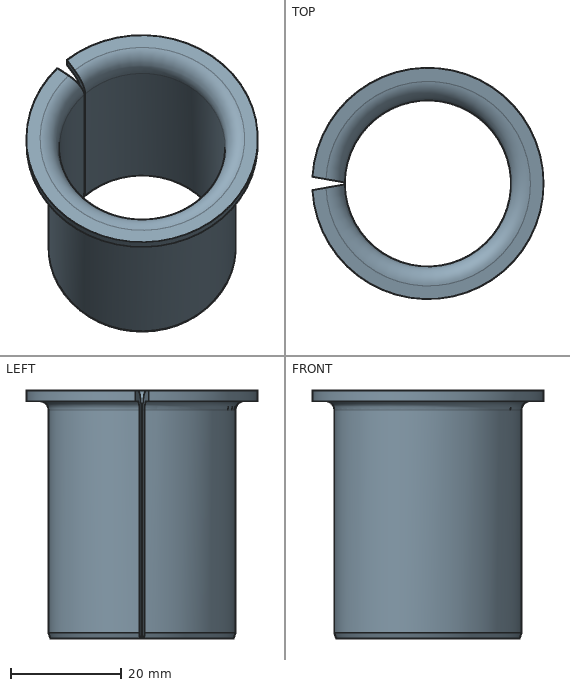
import cadquery as cq
import math

height = 45.0
wall = 2.0
body_radius = 17.0
flange_diameter = 42.0
inner_bend_radius = 3.5
chamfer_height = 1.05
chamfer_angle = 20.0

split_apex_radius = 14.2
split_half_angle = 10.0
split_overrun = 4.25

flange_radius = flange_diameter / 2
bore_radius = body_radius - wall
outer_bend_radius = inner_bend_radius - wall
bend_center_radius = bore_radius + inner_bend_radius
bend_center_z = height - inner_bend_radius
chamfer_width = chamfer_height * math.tan(math.radians(chamfer_angle))


def bend_middle(radius):
    """Middle point of a quarter bend between sleeve and flange."""
    offset = radius * math.sqrt(0.5)
    return bend_center_radius - offset, bend_center_z + offset


def make_bushing():
    """Constant-wall sleeve bent outward into a flange, chamfered at its foot."""
    profile = (
        cq.Workplane("XZ")
        .moveTo(bore_radius, 0)
        .lineTo(body_radius - chamfer_width, 0)
        .lineTo(body_radius, chamfer_height)
        .lineTo(body_radius, bend_center_z)
        .threePointArc(bend_middle(outer_bend_radius), (bend_center_radius, height - wall))
        .lineTo(flange_radius, height - wall)
        .lineTo(flange_radius, height)
        .lineTo(bend_center_radius, height)
        .threePointArc(bend_middle(inner_bend_radius), (bore_radius, bend_center_z))
        .close()
    )
    ring = profile.revolve(360, (0, 0), (0, 1))
    return ring.rotate((0, 0, 0), (0, 0, 1), 180)


def make_split():
    """Full-height wedge that opens outward along -X."""
    end_radius = flange_radius + split_overrun
    half_width = (end_radius - split_apex_radius) * math.tan(math.radians(split_half_angle))
    return (
        cq.Workplane("XY")
        .moveTo(-split_apex_radius, 0)
        .lineTo(-end_radius, half_width)
        .lineTo(-end_radius, -half_width)
        .close()
        .extrude(height)
    )


result = make_bushing().cut(make_split())